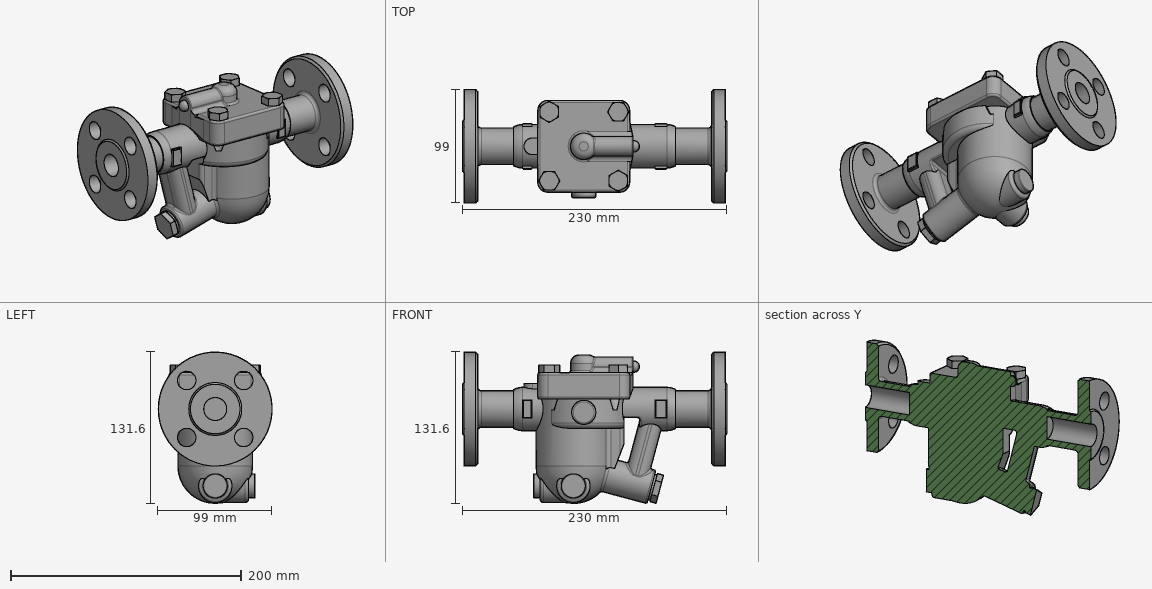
import cadquery as cq
import math


QUARTER_SAG = 1 - math.sqrt(0.5)
PICK = 0.5

FACE_X = 115.0
FLANGE_R = 99.0 / 2
FLANGE_BACK_X = 101.5
FLANGE_CHAMFER = 2.0
RAISED_BASE_R = 46.0 / 2
RAISED_TIP_R = 43.0 / 2
RAISED_HEIGHT = 1.5
BOLT_CIRCLE_D = 70.0
FLANGE_HOLE_D = 16.0
FLANGE_HOLE_COUNT = 4
FLANGE_HOLE_START = 45
PIPE_R = 32.0 / 2
NECK_FILLET = 3.0
SHOULDER_X = 70.3
SHOULDER_R = 38.0 / 2
SHOULDER_TANGENT_X = 62.7
SHOULDER_END_R = 17.0
BORE_R = 20.0 / 2

BODY_X = -18.5
BODY_R = 32.5
BOTTOM_Z = -82.08
DOME_Z = BOTTOM_Z + BODY_R

COVER_X = -9.5
COVER_SIZE = 80.0
COVER_TOP_Z = 31.5
COVER_BOTTOM_Z = 8.5
COVER_CORNER_R = 9.0
COVER_EDGE_FILLET = 2.0
COVER_RIGHT_X = COVER_X + COVER_SIZE / 2
SCREW_SPACING = 60.0
SCREW_HEAD_FLATS = 16.0
SCREW_HEAD_HEIGHT = 6.8
SCREW_HEAD_CHAMFER = 0.8
SCREW_TURNS = (0, 30, 30, 0)

NECK_R = 38.5
NECK_BOTTOM_Z = -12.0
NECK_ROUND = 5.0
GROOVE_TOP_R = 7.2
GROOVE_TIP_R = 4.5
GROOVE_BOTTOM_Z = -1.0

CAP_R = 11.5
CAP_TOP_Z = 47.0
CAP_ROUND = 7.5
CAP_BASE_FILLET = 2.0
PASSAGE_R = 8.5
PASSAGE_Z = 36.8
PASSAGE_END_X = 33.4
PASSAGE_BASE_HALF = 13.0
PASSAGE_END_FILLET = 0.8
CAP_BLEND = 2.0
TIP_X = 33.9
TIP_R = 10.0 / 2
SWELL_WIDE_HALF = 22.0
SWELL_NARROW_HALF = 8.0
SWELL_KNEE_Z = 18.0

PLUG_R = 21.0 / 2
UPPER_PLUG_EDGE = 1.4
LOWER_PLUG_EDGE = 0.5
UPPER_PLUG_Z = -2.9
UPPER_PLUG_END_Y = -44.7
LOWER_PLUG_Z = -66.8
LOWER_PLUG_REACH = 34.5
PLUG_BOSS_R = 14.5
PLUG_BOSS_REACH = 29.0
PLUG_BOSS_FILLET = 3.0

TILT = math.radians(15)
BRANCH_R = 30.0 / 2
BRANCH_REACH = 70.2
BRANCH_EDGE = 1.5
BRANCH_BLEND = 3.0
COLLAR_R = 23.0 / 2
COLLAR_LENGTH = 2.0
BRANCH_HEX_FLATS = 22.0
BRANCH_HEX_LENGTH = 5.6
TUBE_OFFSET = 55.4
TUBE_WIDTH = 20.0
TUBE_DEPTH = 27.5
TUBE_CORNER_R = 8.7
TUBE_FILLET = 2.0

RIB_X = 25.5
RIB_HALF = 13.2
RIB_COVE_R = 4.5
RIB_KNEE_Z = -30.5
RIB_FOOT_X = 17.2
RIB_FOOT_Z = -52.0
RIB_ROUND = 3.5
WINDOW_TOP_Z = -7.5
WINDOW_END_X = 39.0
WINDOW_CORNER_R = 2.0
WINDOW_EDGE_FILLET = 1.5
PAD_Y = 20.0
PAD_HALF_Z = 8.0
PAD_SPANS = ((-62.5, -54.3), (52.4, 62.7))
PAD_EDGE = 0.8
INLET_BOSS_TOP_Z = 22.2
INLET_BOSS_R = 7.2
INLET_BOSS_X = -54.2


def cylinder(radius, length, start, direction):
    return cq.Workplane(cq.Solid.makeCylinder(radius, length, cq.Vector(*start), cq.Vector(*direction)))


def make_end(side):
    """Flange, pipe and rounded shoulder on one side (-1 inlet, +1 outlet)."""
    run = SHOULDER_X - SHOULDER_TANGENT_X
    step = SHOULDER_R - SHOULDER_END_R
    shoulder_round = (run**2 + step**2) / (2 * step)
    half_turn = math.asin(run / shoulder_round) / 2
    arc_mid = (
        SHOULDER_TANGENT_X + shoulder_round * math.sin(half_turn),
        SHOULDER_R - shoulder_round * (1 - math.cos(half_turn)),
    )
    inner_x = -BODY_X if side < 0 else 0
    fillet_mid = NECK_FILLET * QUARTER_SAG
    raised_x = FACE_X - RAISED_HEIGHT
    end = (
        cq.Workplane("XY")
        .moveTo(inner_x, 0)
        .lineTo(inner_x, SHOULDER_R)
        .lineTo(SHOULDER_TANGENT_X, SHOULDER_R)
        .threePointArc(arc_mid, (SHOULDER_X, SHOULDER_END_R))
        .lineTo(SHOULDER_X, PIPE_R)
        .lineTo(FLANGE_BACK_X - NECK_FILLET, PIPE_R)
        .threePointArc(
            (FLANGE_BACK_X - fillet_mid, PIPE_R + fillet_mid),
            (FLANGE_BACK_X, PIPE_R + NECK_FILLET),
        )
        .lineTo(FLANGE_BACK_X, FLANGE_R - FLANGE_CHAMFER)
        .lineTo(FLANGE_BACK_X + FLANGE_CHAMFER, FLANGE_R)
        .lineTo(raised_x, FLANGE_R)
        .lineTo(raised_x, RAISED_BASE_R)
        .lineTo(FACE_X, RAISED_TIP_R)
        .lineTo(FACE_X, 0)
        .close()
        .revolve(360, (0, 0, 0), (1, 0, 0))
    )
    holes = (
        cq.Workplane("YZ", origin=(FLANGE_BACK_X, 0, 0))
        .polarArray(BOLT_CIRCLE_D / 2, FLANGE_HOLE_START, 360, FLANGE_HOLE_COUNT)
        .circle(FLANGE_HOLE_D / 2)
        .extrude(FACE_X - FLANGE_BACK_X)
    )
    end = end.cut(holes)
    return end if side > 0 else end.mirror("YZ")


def make_pot():
    pot = cq.Workplane("XY", origin=(BODY_X, 0, DOME_Z)).circle(BODY_R).extrude(COVER_BOTTOM_Z - DOME_Z)
    dome = cq.Workplane("XY", origin=(BODY_X, 0, DOME_Z)).sphere(BODY_R)
    return pot.union(dome)


def screw_points():
    half = SCREW_SPACING / 2
    return [(COVER_X + sx * half, sy * half) for sx in (-1, 1) for sy in (-1, 1)]


def make_neck():
    """Wide band under the cover, rounded below, flat on the outlet side and relieved at the screws."""
    round_mid = NECK_ROUND * QUARTER_SAG
    neck_end_z = NECK_BOTTOM_Z - NECK_ROUND
    neck = (
        cq.Workplane("XZ")
        .moveTo(0, COVER_BOTTOM_Z)
        .lineTo(NECK_R, COVER_BOTTOM_Z)
        .lineTo(NECK_R, NECK_BOTTOM_Z)
        .threePointArc((NECK_R - round_mid, neck_end_z + round_mid), (NECK_R - NECK_ROUND, neck_end_z))
        .lineTo(0, neck_end_z)
        .close()
        .revolve(360, (0, 0, 0), (0, 1, 0))
        .translate((COVER_X, 0, 0))
    )
    inlet_side_length = RIB_X - (COVER_X - NECK_R)
    limit = cq.Workplane("XY").box(inlet_side_length, 2 * NECK_R, 2 * COVER_SIZE)
    neck = neck.intersect(limit.translate((RIB_X - inlet_side_length / 2, 0, 0)))
    groove_depth = COVER_BOTTOM_Z - GROOVE_BOTTOM_Z
    for x, y in screw_points():
        tip = cq.Vector(x, y, GROOVE_BOTTOM_Z)
        groove = cq.Solid.makeCone(GROOVE_TIP_R, GROOVE_TOP_R, groove_depth, tip)
        neck = neck.cut(cq.Workplane(groove))
    return neck


def make_cover():
    height = COVER_TOP_Z - COVER_BOTTOM_Z
    cover = (
        cq.Workplane("XY", origin=(COVER_X, 0, COVER_BOTTOM_Z))
        .rect(COVER_SIZE, COVER_SIZE)
        .extrude(height)
        .edges("|Z")
        .fillet(COVER_CORNER_R)
        .faces("<Z or >Z")
        .edges()
        .fillet(COVER_EDGE_FILLET)
    )
    return cover.union(make_swell())


def make_swell_plan(top_z):
    """Block from under the cover up to top_z, tapered in plan towards the outlet end."""
    return (
        cq.Workplane("XY", origin=(0, 0, COVER_BOTTOM_Z))
        .moveTo(COVER_X, -SWELL_WIDE_HALF)
        .lineTo(COVER_RIGHT_X, -SWELL_WIDE_HALF)
        .lineTo(PASSAGE_END_X, -SWELL_NARROW_HALF)
        .lineTo(PASSAGE_END_X, SWELL_NARROW_HALF)
        .lineTo(COVER_RIGHT_X, SWELL_WIDE_HALF)
        .lineTo(COVER_X, SWELL_WIDE_HALF)
        .close()
        .extrude(top_z - COVER_BOTTOM_Z)
    )


def make_swell():
    """Bulge of the cover edge that carries the end of the discharge passage."""
    plan = make_swell_plan(COVER_TOP_Z - COVER_EDGE_FILLET)
    side = (
        cq.Workplane("XZ")
        .moveTo(COVER_X, COVER_BOTTOM_Z + COVER_EDGE_FILLET)
        .lineTo(COVER_RIGHT_X, COVER_BOTTOM_Z + COVER_EDGE_FILLET)
        .lineTo(PASSAGE_END_X, SWELL_KNEE_Z)
        .lineTo(PASSAGE_END_X, COVER_TOP_Z)
        .lineTo(COVER_X, COVER_TOP_Z)
        .close()
        .extrude(SWELL_WIDE_HALF, both=True)
    )
    return plan.intersect(side)


def make_screw_heads():
    corner_d = SCREW_HEAD_FLATS / math.cos(math.pi / 6)
    heads = cq.Workplane("XY")
    for turn, (x, y) in zip(SCREW_TURNS, screw_points()):
        head = (
            cq.Workplane("XY")
            .polygon(6, corner_d)
            .extrude(SCREW_HEAD_HEIGHT)
            .rotate((0, 0, 0), (0, 0, 1), turn)
        )
        crown = (
            cq.Workplane("XY")
            .circle(corner_d / 2)
            .extrude(SCREW_HEAD_HEIGHT)
            .faces(">Z")
            .chamfer(SCREW_HEAD_CHAMFER / 2, SCREW_HEAD_CHAMFER)
        )
        heads = heads.add(head.intersect(crown).translate((x, y, COVER_TOP_Z)))
    return heads


def make_cap():
    """Domed cap with a flared foot, standing on the cover."""
    foot = CAP_BASE_FILLET
    foot_mid = foot * QUARTER_SAG
    round_mid = CAP_ROUND * QUARTER_SAG
    return (
        cq.Workplane("XZ")
        .moveTo(0, COVER_BOTTOM_Z)
        .lineTo(CAP_R + foot, COVER_BOTTOM_Z)
        .lineTo(CAP_R + foot, COVER_TOP_Z)
        .threePointArc((CAP_R + foot_mid, COVER_TOP_Z + foot_mid), (CAP_R, COVER_TOP_Z + foot))
        .lineTo(CAP_R, CAP_TOP_Z - CAP_ROUND)
        .threePointArc((CAP_R - round_mid, CAP_TOP_Z - round_mid), (CAP_R - CAP_ROUND, CAP_TOP_Z))
        .lineTo(0, CAP_TOP_Z)
        .close()
        .revolve(360, (0, 0, 0), (0, 1, 0))
        .translate((COVER_X, 0, 0))
    )


def make_passage():
    """Round-topped discharge passage with coved sides and a ball-ended tip."""
    cove_r = PASSAGE_BASE_HALF - PASSAGE_R
    cove_mid = cove_r * QUARTER_SAG
    cove_top_z = COVER_TOP_Z + cove_r
    passage = (
        cq.Workplane("YZ", origin=(COVER_X, 0, 0))
        .moveTo(-PASSAGE_BASE_HALF, COVER_TOP_Z - COVER_EDGE_FILLET)
        .lineTo(-PASSAGE_BASE_HALF, COVER_TOP_Z)
        .threePointArc((-PASSAGE_R - cove_mid, COVER_TOP_Z + cove_mid), (-PASSAGE_R, cove_top_z))
        .lineTo(-PASSAGE_R, PASSAGE_Z)
        .threePointArc((0, PASSAGE_Z + PASSAGE_R), (PASSAGE_R, PASSAGE_Z))
        .lineTo(PASSAGE_R, cove_top_z)
        .threePointArc((PASSAGE_R + cove_mid, COVER_TOP_Z + cove_mid), (PASSAGE_BASE_HALF, COVER_TOP_Z))
        .lineTo(PASSAGE_BASE_HALF, COVER_TOP_Z - COVER_EDGE_FILLET)
        .close()
        .extrude(PASSAGE_END_X - COVER_X)
        .intersect(make_swell_plan(CAP_TOP_Z))
    )
    crown = cq.selectors.BoxSelector(
        (PASSAGE_END_X - PICK, -PICK, PASSAGE_Z + PICK), (PASSAGE_END_X + PICK, PICK, CAP_TOP_Z)
    )
    passage = passage.edges(crown).fillet(PASSAGE_END_FILLET)
    tip = cq.Workplane("XY", origin=(TIP_X, 0, PASSAGE_Z)).sphere(TIP_R)
    return passage.union(tip)


def make_cap_with_passage():
    """Cap and passage with a small blend where the passage leaves the cap."""
    cap_side_x = COVER_X + CAP_R
    joint = cq.selectors.BoxSelector(
        (cap_side_x - CAP_R / 2, -PASSAGE_R, PASSAGE_Z - PICK),
        (cap_side_x + PICK, PASSAGE_R, CAP_TOP_Z - PICK),
    )
    return make_cap().union(make_passage()).edges(joint).fillet(CAP_BLEND)


def make_upper_plug():
    plug = cylinder(PLUG_R, -UPPER_PLUG_END_Y, (COVER_X, 0, UPPER_PLUG_Z), (0, -1, 0))
    return plug.faces("<Y").edges().fillet(UPPER_PLUG_EDGE)


def make_lower_plug(direction):
    """Round boss and plug low on the pot, pointing along the given direction."""
    start = (BODY_X, 0, LOWER_PLUG_Z)
    boss = cylinder(PLUG_BOSS_R, PLUG_BOSS_REACH, start, direction)
    far_face = "<X" if direction[0] < 0 else "<Y"
    boss = boss.faces(far_face).edges().fillet(PLUG_BOSS_FILLET)
    plug = cylinder(PLUG_R, LOWER_PLUG_REACH, start, direction)
    plug = plug.faces(far_face).edges().fillet(LOWER_PLUG_EDGE)
    return boss.union(plug)


def make_branch():
    """Strainer branch, its hexagonal plug and the tube up to the outlet pipe.

    Built along +X with the tube along +Z, then tilted down about the dome centre.
    """
    pipe = cylinder(BRANCH_R, BRANCH_REACH, (0, 0, 0), (1, 0, 0)).faces(">X").edges().fillet(BRANCH_EDGE)
    collar = cylinder(COLLAR_R, COLLAR_LENGTH, (BRANCH_REACH, 0, 0), (1, 0, 0))
    hexagon = (
        cq.Workplane("YZ", origin=(BRANCH_REACH + COLLAR_LENGTH, 0, 0))
        .polygon(6, BRANCH_HEX_FLATS / math.cos(math.pi / 6))
        .extrude(BRANCH_HEX_LENGTH)
        .rotate((0, 0, 0), (1, 0, 0), 90)
    )
    tube_length = (-DOME_Z + TUBE_OFFSET * math.sin(TILT)) / math.cos(TILT)
    tube = (
        cq.Workplane("XY", origin=(TUBE_OFFSET, 0, 0))
        .rect(TUBE_WIDTH, TUBE_DEPTH)
        .extrude(tube_length)
        .edges("|Z")
        .fillet(TUBE_CORNER_R)
    )
    joint = cq.selectors.BoxSelector(
        (TUBE_OFFSET - TUBE_WIDTH, -BRANCH_R, PICK),
        (TUBE_OFFSET + TUBE_WIDTH, BRANCH_R, BRANCH_R + PICK),
        boundingbox=True,
    )
    branch = pipe.union(tube).edges(joint).edges("not |X").fillet(TUBE_FILLET).union(collar).union(hexagon)
    return branch.rotate((0, 0, 0), (0, 1, 0), math.degrees(TILT)).translate((BODY_X, 0, DOME_Z))


def make_pot_with_branch():
    """Pot and branch with a blend all round the root of the branch."""
    lower = DOME_Z - BODY_R * math.cos(TILT) + PICK
    joint = cq.selectors.BoxSelector(
        (BODY_X + BRANCH_R, -BRANCH_R, lower), (BODY_X + BODY_R, BRANCH_R, DOME_Z + BRANCH_R)
    )
    return make_pot().union(make_branch()).edges(joint).edges("not %LINE").fillet(BRANCH_BLEND)


def make_rib():
    """Web between the pot, the neck and the branch, with a rounded outer edge."""
    rib = (
        cq.Workplane("XZ")
        .moveTo(BODY_X, NECK_BOTTOM_Z)
        .lineTo(RIB_X, NECK_BOTTOM_Z)
        .lineTo(RIB_X, RIB_KNEE_Z)
        .lineTo(RIB_FOOT_X, RIB_FOOT_Z)
        .lineTo(BODY_X, RIB_FOOT_Z)
        .close()
        .extrude(RIB_HALF, both=True)
    )
    edge_zone = cq.selectors.BoxSelector(
        (RIB_FOOT_X - PICK, -COVER_SIZE, RIB_FOOT_Z), (COVER_SIZE, COVER_SIZE, NECK_BOTTOM_Z)
    )
    rib = rib.edges(edge_zone).edges("not |Y").edges("not <Z").fillet(RIB_ROUND)
    return rib.union(make_rib_coves())


def make_rib_coves():
    """Concave blends between the round pot and the two flat faces of the rib."""
    cove_x = math.sqrt((BODY_R + RIB_COVE_R) ** 2 - (RIB_HALF + RIB_COVE_R) ** 2)
    cove_y = RIB_HALF + RIB_COVE_R
    pot_angle = math.atan2(cove_y, cove_x)
    mid_angle = (pot_angle + math.pi / 2) / 2
    pot_touch = (BODY_R * math.cos(pot_angle), BODY_R * math.sin(pot_angle))
    mid = (cove_x - RIB_COVE_R * math.cos(mid_angle), cove_y - RIB_COVE_R * math.sin(mid_angle))
    cove = (
        cq.Workplane("XY", origin=(BODY_X, 0, RIB_FOOT_Z))
        .lineTo(*pot_touch)
        .threePointArc(mid, (cove_x, RIB_HALF))
        .lineTo(cove_x, 0)
        .close()
        .extrude(NECK_BOTTOM_Z - RIB_FOOT_Z)
    )
    return cove.union(cove.mirror("XZ"))


def make_pads():
    """Flat-faced pads on both sides of each shoulder."""
    pads = cq.Workplane("XY")
    for start_x, end_x in PAD_SPANS:
        pad = cq.Workplane("XY").box(end_x - start_x, 2 * PAD_Y, 2 * PAD_HALF_Z)
        pad = pad.faces("<Y or >Y").edges().chamfer(PAD_EDGE)
        pads = pads.add(pad.translate(((start_x + end_x) / 2, 0, 0)))
    return pads


def make_inlet_boss():
    length = COVER_X - INLET_BOSS_X
    boss = cylinder(INLET_BOSS_R, INLET_BOSS_TOP_Z, (INLET_BOSS_X, 0, 0), (0, 0, 1))
    run = cq.Workplane("XY").box(length, 2 * INLET_BOSS_R, INLET_BOSS_TOP_Z, centered=(False, True, False))
    return boss.union(run.translate((INLET_BOSS_X, 0, 0)))


def make_window():
    """Space under the flattened part of the outlet pipe."""
    depth = SHOULDER_R + WINDOW_TOP_Z
    window = cq.Workplane("XY").box(
        WINDOW_END_X - RIB_X, 2 * SHOULDER_R, depth, centered=(False, True, False)
    )
    window = window.edges("|Y and >X and >Z").fillet(WINDOW_CORNER_R)
    return window.translate((RIB_X, 0, -SHOULDER_R))


def make_outlet_end():
    """Outlet end, flattened underneath next to the neck and rounded along the flat."""
    long_edges = cq.selectors.BoxSelector(
        (RIB_X, -SHOULDER_R, WINDOW_TOP_Z - PICK), (WINDOW_END_X, SHOULDER_R, WINDOW_TOP_Z + PICK)
    )
    return make_end(1).cut(make_window()).edges(long_edges).edges("|X").fillet(WINDOW_EDGE_FILLET)


def make_bores():
    """Blind bores through each flange as far as the pipe shoulder."""
    depth = FACE_X - SHOULDER_X
    inlet = cylinder(BORE_R, depth, (-FACE_X, 0, 0), (1, 0, 0))
    return inlet.union(cylinder(BORE_R, depth, (FACE_X, 0, 0), (-1, 0, 0)))


parts = [
    make_end(-1),
    make_outlet_end(),
    make_pot_with_branch(),
    make_neck(),
    make_cover(),
    make_screw_heads(),
    make_cap_with_passage(),
    make_upper_plug(),
    make_lower_plug((-1, 0, 0)),
    make_lower_plug((0, -1, 0)),
    make_rib(),
    make_pads(),
    make_inlet_boss(),
]
result = parts[0]
for part in parts[1:]:
    result = result.union(part)
result = result.cut(make_bores())